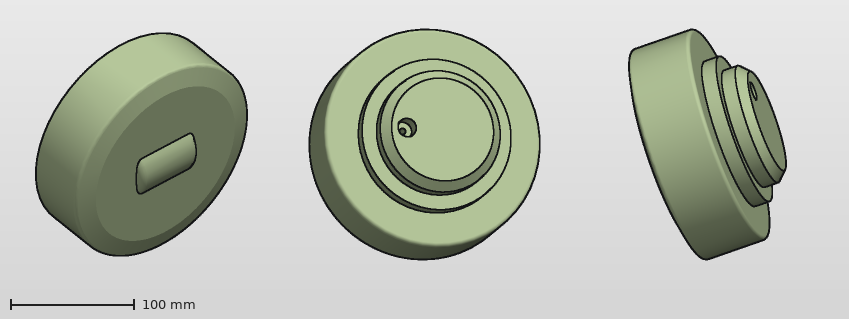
import cadquery as cq
import math

stub_radius = 50.0
stub_tip_radius = 42.5
stub_taper_end = 7.7
flange_start = 19.6
flange_radius = 62.0

wheel_start = 32.0
wheel_radius = 90.0
wheel_face = 89.3
wheel_face_radius = 72.3
cone_angle = math.radians(15)
wheel_edge_fillet = 3.0

overall_length = 95.7
roller_radius = 30.0
roller_length = 60.1
roller_fillet = 6.1

hole_y = 29.5
counterbore_diameter = 15.1
counterbore_depth = 15.1
bore_diameter = 5.0
bore_depth = 30.0
drill_point_angle = math.radians(118)


def make_axle():
    """Revolve the tapered stub and its flange."""
    return (
        cq.Workplane("XY")
        .moveTo(0, 0)
        .lineTo(0, stub_tip_radius)
        .lineTo(stub_taper_end, stub_radius)
        .lineTo(flange_start, stub_radius)
        .lineTo(flange_start, flange_radius)
        .lineTo(wheel_start, flange_radius)
        .lineTo(wheel_start, 0)
        .close()
        .revolve(360, (0, 0, 0), (1, 0, 0))
    )


def make_wheel():
    """Revolve the wheel and round both rims of its tread."""
    cone_depth = (wheel_radius - wheel_face_radius) * math.tan(cone_angle)
    cone_start = wheel_face - cone_depth
    wheel = (
        cq.Workplane("XY")
        .moveTo(wheel_start, 0)
        .lineTo(wheel_start, wheel_radius)
        .lineTo(cone_start, wheel_radius)
        .lineTo(wheel_face, wheel_face_radius)
        .lineTo(wheel_face, 0)
        .close()
        .revolve(360, (0, 0, 0), (1, 0, 0))
    )
    return wheel.faces("%CYLINDER").edges("%CIRCLE").fillet(wheel_edge_fillet)


def make_roller():
    """Build the side roller with rounded ends."""
    return (
        cq.Workplane("XZ", origin=(overall_length - roller_radius, 0, 0))
        .circle(roller_radius)
        .extrude(roller_length / 2, both=True)
        .edges("%CIRCLE")
        .fillet(roller_fillet)
    )


def make_grease_hole():
    """Build the cutter for the counterbore and the drilled bore."""
    bore_radius = bore_diameter / 2
    counterbore_radius = counterbore_diameter / 2
    point_depth = bore_radius / math.tan(drill_point_angle / 2)
    return (
        cq.Workplane("XY")
        .moveTo(0, hole_y)
        .lineTo(0, hole_y + counterbore_radius)
        .lineTo(counterbore_depth, hole_y + counterbore_radius)
        .lineTo(counterbore_depth, hole_y + bore_radius)
        .lineTo(bore_depth, hole_y + bore_radius)
        .lineTo(bore_depth + point_depth, hole_y)
        .close()
        .revolve(360, (0, hole_y, 0), (1, hole_y, 0))
    )


result = make_axle().union(make_wheel()).union(make_roller()).cut(make_grease_hole())